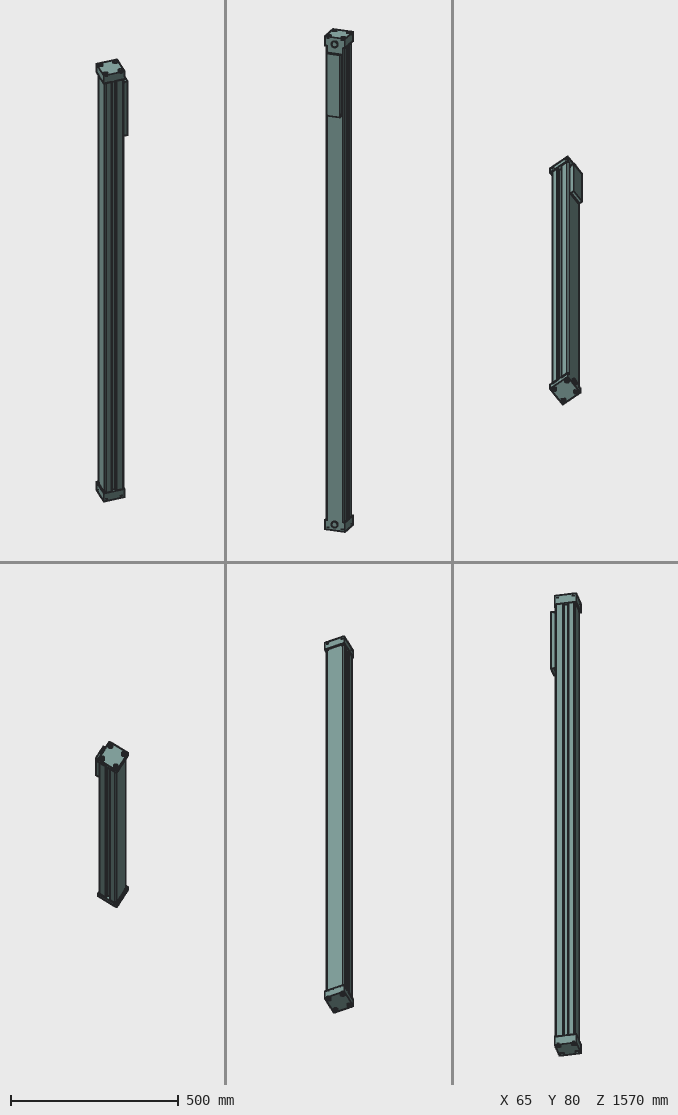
import cadquery as cq

HEIGHT = 1570.0
WIDTH = 65.0
DEPTH = 80.0

CAP_HEIGHT = 30.0
CAP_DEPTH = 66.0

BOSS_DIAMETER = 19.0
BOSS_LENGTH = 5.0
BOSS_TO_CAP_EDGE = 10.0

SCREW_INSET = 10.0
HEAD_DIAMETER = 13.0
HEAD_DEPTH = 6.0
SHANK_DIAMETER = 5.3

PROFILE_WIDTH = 60.0
PROFILE_FRONT = 4.0
FRONT_BEVEL = 5.0
BACK_BEVEL = 5.0

GROOVE_CENTRE = 33.0
GROOVE_WIDTH = 17.0
GROOVE_DEPTH = 2.0
SLOT_WIDTH = 11.0
SLOT_DEPTH = 8.0

PLATE_WIDTH = 42.0
PLATE_LENGTH = 198.0
PLATE_TOP_GAP = 49.0
PLATE_BEVEL = 5.0


def block(width, front, back, bottom, top):
    """A box centred on X, from front to back along Y and bottom to top along Z."""
    return (
        cq.Workplane("XY")
        .box(width, back - front, top - bottom, centered=(True, False, False))
        .translate((0, front, bottom))
    )


def profile():
    """The long extrusion, with bevelled edges and a stepped groove in each side."""
    bottom = CAP_HEIGHT
    top = HEIGHT - CAP_HEIGHT
    body = block(PROFILE_WIDTH, PROFILE_FRONT, CAP_DEPTH, bottom, top)
    body = body.edges("|Z and <Y").chamfer(FRONT_BEVEL)
    body = body.edges("|Z and >Y").chamfer(BACK_BEVEL)
    for width, depth in ((GROOVE_WIDTH, GROOVE_DEPTH), (SLOT_WIDTH, SLOT_DEPTH)):
        front = GROOVE_CENTRE - width / 2
        for side in (-1, 1):
            cutter = block(2 * depth, front, front + width, bottom, top)
            body = body.cut(cutter.translate((side * PROFILE_WIDTH / 2, 0, 0)))
    return body


def top_cap():
    """The upper cap, with four counterbored screw holes and the boss on its back."""
    bottom = HEIGHT - CAP_HEIGHT
    cap = block(WIDTH, 0, CAP_DEPTH, bottom, HEIGHT)
    boss = (
        cq.Workplane("XZ", origin=(0, CAP_DEPTH, bottom + BOSS_TO_CAP_EDGE))
        .circle(BOSS_DIAMETER / 2)
        .extrude(-BOSS_LENGTH)
    )
    return (
        cap.union(boss)
        .faces(">Z")
        .workplane(origin=(0, CAP_DEPTH / 2, HEIGHT))
        .rect(WIDTH - 2 * SCREW_INSET, CAP_DEPTH - 2 * SCREW_INSET, forConstruction=True)
        .vertices()
        .cboreHole(SHANK_DIAMETER, HEAD_DIAMETER, HEAD_DEPTH, CAP_HEIGHT)
    )


def make_housing():
    """The profile closed by a cap at the top and its mirror image at the foot."""
    upper = top_cap()
    lower = upper.mirror("XY", (0, 0, HEIGHT / 2))
    return profile().union(upper).union(lower)


def make_plate():
    """The plate lying against the back of the profile, with its inner end edges bevelled."""
    top = HEIGHT - PLATE_TOP_GAP
    plate = block(PLATE_WIDTH, CAP_DEPTH, DEPTH, top - PLATE_LENGTH, top)
    return plate.edges("|X and <Y").chamfer(PLATE_BEVEL)


housing = make_housing()
plate = make_plate()

result = cq.Compound.makeCompound([housing.val(), plate.val()])